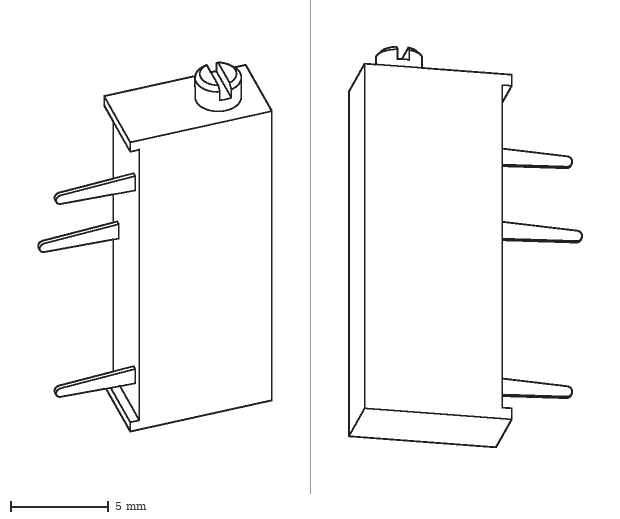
import cadquery as cq

total_height = 20.57
total_depth = 11.56
width = 4.05
body_height = 19.05
body_depth = 7.73
lip_depth = 0.5
lip_thickness = 0.62

screw_diameter = 2.39
screw_height = total_height - body_height
screw_from_back = 2.22
screw_chamfer = 0.25
slot_width = 0.62
slot_depth = 0.78

pitch = 2.54
pin_thickness = 0.25
pin_root_height = 0.95
pin_tip_radius = 0.29
lowest_pin_z = 3.05
pin_length = total_depth - body_depth + lip_depth
pin_face_y = lip_depth
pin_places = [
    (pitch / 2, lowest_pin_z),
    (-pitch / 2, lowest_pin_z + 3 * pitch),
    (pitch / 2, lowest_pin_z + 5 * pitch),
]


def make_housing():
    """Rectangular block with its front face recessed between two lips."""
    block = cq.Workplane("XY").box(width, body_depth, body_height, centered=(True, False, False))
    recess = (
        cq.Workplane("XY")
        .box(width, lip_depth, body_height - 2 * lip_thickness, centered=(True, False, False))
        .translate((0, 0, lip_thickness))
    )
    return block.cut(recess)


def make_screw():
    """Chamfered screw head with a slot running along X."""
    head = (
        cq.Workplane("XY")
        .circle(screw_diameter / 2)
        .extrude(screw_height)
        .faces(">Z")
        .chamfer(screw_chamfer)
    )
    slot = (
        cq.Workplane("XY")
        .box(screw_diameter, slot_width, slot_depth, centered=(True, True, False))
        .translate((0, 0, screw_height - slot_depth))
    )
    return head.cut(slot).translate((0, body_depth - screw_from_back, body_height))


def make_pin(x, z):
    """Flat pin tapering toward -Y and ending in a half-round tip."""
    tip_y = pin_face_y - pin_length
    arc_y = tip_y + pin_tip_radius
    return (
        cq.Workplane("YZ")
        .moveTo(pin_face_y, pin_root_height / 2)
        .lineTo(arc_y, pin_tip_radius)
        .threePointArc((tip_y, 0), (arc_y, -pin_tip_radius))
        .lineTo(pin_face_y, -pin_root_height / 2)
        .close()
        .extrude(pin_thickness / 2, both=True)
        .translate((x, 0, z))
    )


result = make_housing().union(make_screw())
for pin_x, pin_z in pin_places:
    result = result.union(make_pin(pin_x, pin_z))